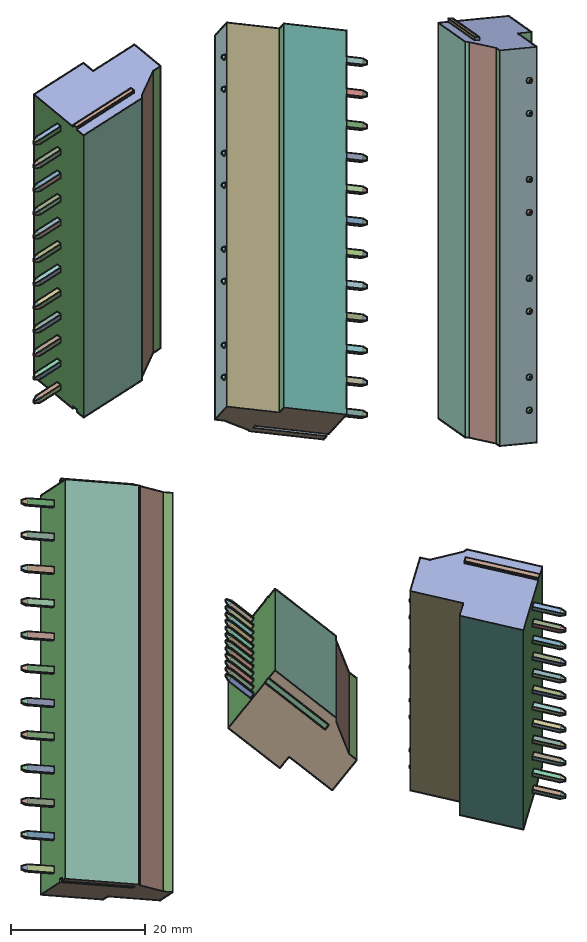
import cadquery as cq

pole_count = 12
pitch = 5.08
body_height = pole_count * pitch

body_width = 11.2
body_depth = 18.0
step_width = 2.2
step_depth = 9.8
rear_right_x = 8.1
slope_rear_y = 16.5
slope_front_x = 10.7
slope_front_y = 12.0
shoulder_y = 11.6

rib_left_x = 8.8
rib_width = 0.8
rib_length = 11.4
rib_height = 0.5
rib_bevel_width = 0.1
rib_bevel_height = 0.2
groove_side_clearance = 0.05
groove_depth = 0.5

pin_x = 5.7
pin_width = 0.8
pin_thickness = 1.0
pin_length = 5.0
pin_tip_length = 0.8
pin_tip_width = 0.3
pin_tip_thickness = 0.5
pin_root = 1.0

stud_x = 3.4
stud_base_diameter = 0.9
stud_tip_diameter = 0.4
stud_height = 0.4
poles_per_stud_group = 3


def make_housing():
    """Stepped and sloped profile extruded along the row of poles."""
    outline = [
        (0, 0),
        (body_width, 0),
        (body_width, shoulder_y),
        (slope_front_x, slope_front_y),
        (rear_right_x, slope_rear_y),
        (rear_right_x, body_depth),
        (step_width, body_depth),
        (step_width, step_depth),
        (0, step_depth),
    ]
    return cq.Workplane("XY").polyline(outline).close().extrude(body_height)


def make_rib():
    """Straight rib on the top end, bevelled along its left crest."""
    section = [
        (0, 0),
        (rib_width, 0),
        (rib_width, rib_height),
        (rib_bevel_width, rib_height),
        (0, rib_height - rib_bevel_height),
    ]
    plane = cq.Workplane("XZ", origin=(rib_left_x, 0, body_height))
    return plane.polyline(section).close().extrude(-rib_length)


def make_groove():
    """Rectangular slot in the bottom end that receives the rib of a neighbouring block."""
    slot = cq.Workplane("XY").box(
        rib_width + 2 * groove_side_clearance,
        rib_length + groove_side_clearance,
        groove_depth,
        centered=False,
    )
    return slot.translate((rib_left_x - groove_side_clearance, 0, 0))


def make_pin(z):
    """Rectangular pin pointing to -Y with a tapered tip."""
    shank_length = pin_length - pin_tip_length
    shank = cq.Workplane("XY").box(pin_width, pin_root + shank_length, pin_thickness)
    shank = shank.translate((0, (pin_root - shank_length) / 2, 0))
    tip = (
        cq.Workplane("XZ", origin=(0, -shank_length, 0))
        .rect(pin_width, pin_thickness)
        .workplane(offset=pin_tip_length)
        .rect(pin_tip_width, pin_tip_thickness)
        .loft(ruled=True)
    )
    return shank.union(tip).translate((pin_x, 0, z))


def make_stud(z):
    """Truncated cone standing on the rear face."""
    cone = cq.Solid.makeCone(
        stud_base_diameter / 2,
        stud_tip_diameter / 2,
        stud_height,
        cq.Vector(stud_x, body_depth, z),
        cq.Vector(0, 1, 0),
    )
    return cq.Workplane(cone)


result = make_housing()
result = result.union(make_rib())
result = result.cut(make_groove())

for pole in range(pole_count):
    result = result.union(make_pin((pole + 0.5) * pitch))

for boundary in range(1, pole_count):
    if boundary % poles_per_stud_group != 0:
        result = result.union(make_stud(boundary * pitch))